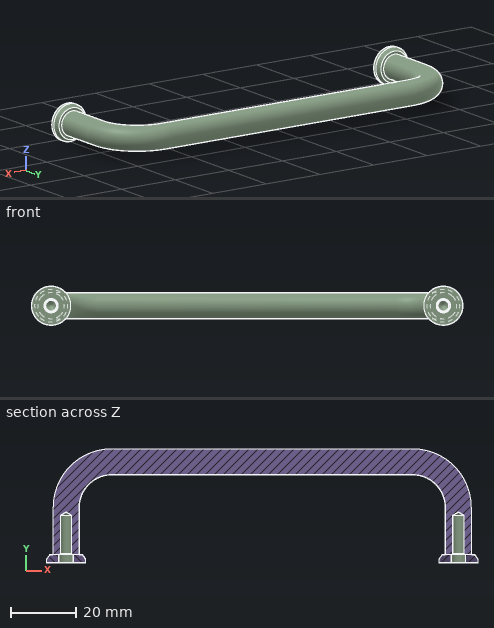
import cadquery as cq
import math

overall_length = 132.0
overall_depth = 35.0

foot_diameter = 12.0
foot_shoulder_diameter = 10.0
foot_thickness = 2.5
foot_rim_thickness = 1.2
foot_hole_diameter = 4.4

bar_diameter = 8.0
bend_radius = 14.0

screw_hole_diameter = 3.3
screw_hole_mouth_diameter = 4.0
screw_hole_depth = 12.0
drill_point_angle = 118.0

leg_x = (overall_length - foot_diameter) / 2
grip_y = overall_depth - bar_diameter / 2
bend_start_y = grip_y - bend_radius
bend_end_x = leg_x - bend_radius
bend_diagonal = bend_radius * math.sqrt(0.5)
bend_mid_x = bend_end_x + bend_diagonal
bend_mid_y = bend_start_y + bend_diagonal


def make_foot(x):
    """Washer with a flat rim and a tapered shoulder, standing on Y = 0."""
    rim_radius = foot_diameter / 2
    shoulder_radius = foot_shoulder_diameter / 2
    hole_radius = foot_hole_diameter / 2
    profile = (
        cq.Workplane("XY")
        .moveTo(hole_radius, 0)
        .lineTo(rim_radius, 0)
        .lineTo(rim_radius, foot_rim_thickness)
        .lineTo(shoulder_radius, foot_thickness)
        .lineTo(hole_radius, foot_thickness)
        .close()
    )
    return profile.revolve(360, (0, 0, 0), (0, 1, 0)).translate((x, 0, 0))


def make_screw_hole(x):
    """Solid shape of one drilled hole, going in from the end of a leg."""
    radius = screw_hole_diameter / 2
    mouth_radius = screw_hole_mouth_diameter / 2
    countersink_depth = mouth_radius - radius
    point_depth = radius / math.tan(math.radians(drill_point_angle / 2))
    bottom_y = foot_thickness + screw_hole_depth
    profile = (
        cq.Workplane("XY")
        .moveTo(0, foot_thickness)
        .lineTo(mouth_radius, foot_thickness)
        .lineTo(radius, foot_thickness + countersink_depth)
        .lineTo(radius, bottom_y)
        .lineTo(0, bottom_y + point_depth)
        .close()
    )
    return profile.revolve(360, (0, 0, 0), (0, 1, 0)).translate((x, 0, 0))


def make_bar():
    """U-shaped round bar whose legs end on the backs of the feet."""
    centreline = (
        cq.Workplane("XY")
        .moveTo(-leg_x, foot_thickness)
        .lineTo(-leg_x, bend_start_y)
        .threePointArc((-bend_mid_x, bend_mid_y), (-bend_end_x, grip_y))
        .lineTo(bend_end_x, grip_y)
        .threePointArc((bend_mid_x, bend_mid_y), (leg_x, bend_start_y))
        .lineTo(leg_x, foot_thickness)
    )
    leg_end = cq.Workplane("XZ", origin=(-leg_x, foot_thickness, 0))
    bar = leg_end.circle(bar_diameter / 2).sweep(centreline)
    for x in (-leg_x, leg_x):
        bar = bar.cut(make_screw_hole(x))
    return bar


bar = make_bar()
feet = [make_foot(x) for x in (-leg_x, leg_x)]

result = cq.Compound.makeCompound([bar.val(), *[foot.val() for foot in feet]])